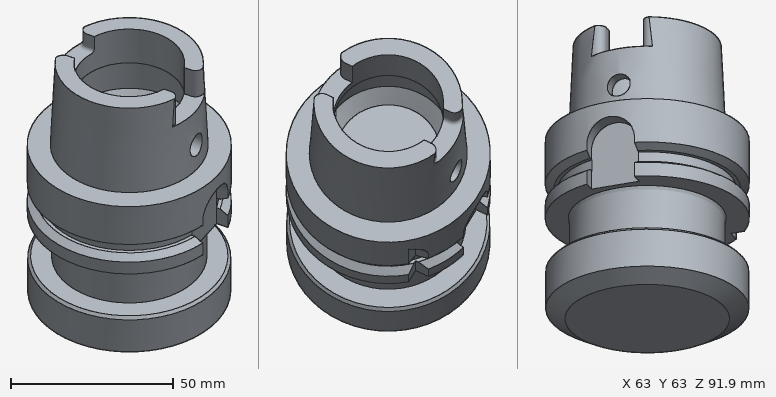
import cadquery as cq

height = 91.9
base_bevel_height = 3.5
base_top = 16.9
ring_bottom = 34.0
groove_bottom = 40.2
groove_top = 43.9
flange_top = 60.2

base_radius = 62.7 / 2
base_bottom_radius = 25.4
base_edge_chamfer = 0.9
neck_radius = 48.0 / 2
neck_flare = 0.4
neck_flare_height = 1.2
flange_radius = 62.95 / 2
groove_radius = 27.6
groove_bevel_height = 1.6
groove_bevel_width = 2.7
taper_base_radius = 24.35
taper_top_radius = 22.9

bore_radius = 34.1 / 2
bore_length = 13.1
chamber_radius = 40.1 / 2
chamber_cone_height = 1.8
bore_floor = 62.3
floor_radius = 15.8
floor_cone_height = 4.2

cross_hole_diameter = 7.5
cross_hole_height = 69.0

drive_half_width = 6.25
drive_mouth_radius = 2.7
drive_mouth_start = 18.4
left_drive_floor = 85.8
right_drive_floor = 81.7
left_drive_fillet = 1.3

key_radius = 7.9
key_top = 55.1
key_floor = 26.5
side_notch_radius = 7.4
side_notch_floor = 20.0
side_notch_inner_edge = 19.8

clearance = 4.6


def turned_outside():
    bevel_radius = flange_radius - groove_bevel_width
    return (
        cq.Workplane("XZ")
        .lineTo(base_bottom_radius, 0)
        .lineTo(base_radius, base_bevel_height)
        .lineTo(base_radius, base_top - base_edge_chamfer)
        .lineTo(base_radius - base_edge_chamfer, base_top)
        .lineTo(neck_radius, base_top)
        .lineTo(neck_radius, ring_bottom - neck_flare_height)
        .lineTo(neck_radius + neck_flare, ring_bottom)
        .lineTo(flange_radius, ring_bottom)
        .lineTo(flange_radius, groove_bottom - groove_bevel_height)
        .lineTo(bevel_radius, groove_bottom)
        .lineTo(groove_radius, groove_bottom)
        .lineTo(groove_radius, groove_top)
        .lineTo(bevel_radius, groove_top)
        .lineTo(flange_radius, groove_top + groove_bevel_height)
        .lineTo(flange_radius, flange_top)
        .lineTo(taper_base_radius, flange_top)
        .lineTo(taper_top_radius, height)
        .lineTo(0, height)
        .close()
        .revolve(360, (0, 0, 0), (0, 1, 0))
    )


def stepped_bore():
    bore_end = height - bore_length
    return (
        cq.Workplane("XZ")
        .moveTo(0, bore_floor)
        .lineTo(floor_radius, bore_floor)
        .lineTo(chamber_radius, bore_floor + floor_cone_height)
        .lineTo(chamber_radius, bore_end - chamber_cone_height)
        .lineTo(bore_radius, bore_end)
        .lineTo(bore_radius, height)
        .lineTo(0, height)
        .close()
        .revolve(360, (0, 0, 0), (0, 1, 0))
    )


def cross_hole():
    """Radial hole through both walls along X."""
    return (
        cq.Workplane("YZ")
        .center(0, cross_hole_height)
        .circle(cross_hole_diameter / 2)
        .extrude(flange_radius, both=True)
    )


def drive_slot(floor, fillet=0):
    """Rim slot on the -X side whose mouth flares outward in two convex arcs."""
    mouth_end = drive_mouth_start + drive_mouth_radius
    mouth_half_width = drive_half_width + drive_mouth_radius
    arc_offset = drive_mouth_radius * 0.5 ** 0.5
    arc_mid_x = drive_mouth_start + arc_offset
    arc_mid_y = mouth_half_width - arc_offset
    outer_half_width = mouth_half_width + clearance
    outer_x = mouth_end + clearance
    slot = (
        cq.Workplane("XY", origin=(0, 0, floor))
        .moveTo(0, drive_half_width)
        .lineTo(-drive_mouth_start, drive_half_width)
        .threePointArc((-arc_mid_x, arc_mid_y), (-mouth_end, mouth_half_width))
        .lineTo(-mouth_end, outer_half_width)
        .lineTo(-outer_x, outer_half_width)
        .lineTo(-outer_x, -outer_half_width)
        .lineTo(-mouth_end, -outer_half_width)
        .lineTo(-mouth_end, -mouth_half_width)
        .threePointArc((-arc_mid_x, -arc_mid_y), (-drive_mouth_start, -drive_half_width))
        .lineTo(0, -drive_half_width)
        .close()
        .extrude(height + clearance - floor)
    )
    if fillet:
        walls = cq.selectors.BoxSelector(
            (-mouth_end - fillet / 2, -outer_half_width - fillet, floor - fillet),
            (-fillet / 2, outer_half_width + fillet, floor + fillet),
        )
        slot = slot.edges(walls).fillet(fillet)
    return slot


def flange_slot(radius, center_y, floor_distance):
    """Round-topped slot with a flat floor facing -X, open below the flange ring."""
    arc_center = key_top - radius
    depth = flange_radius + clearance - floor_distance
    plane = cq.Workplane("YZ", origin=(-floor_distance, center_y, 0))
    return (
        plane.moveTo(-radius, ring_bottom)
        .lineTo(-radius, arc_center)
        .threePointArc((0, key_top), (radius, arc_center))
        .lineTo(radius, ring_bottom)
        .close()
        .extrude(-depth)
    )


def opposite(cutter):
    """Turn a -X side cutter to the +X side."""
    return cutter.rotate((0, 0, 0), (0, 0, 1), 180)


result = (
    turned_outside()
    .cut(stepped_bore())
    .cut(cross_hole())
    .cut(drive_slot(left_drive_floor, left_drive_fillet))
    .cut(opposite(drive_slot(right_drive_floor)))
    .cut(flange_slot(key_radius, 0, key_floor))
    .cut(opposite(flange_slot(key_radius, 0, key_floor)))
    .cut(flange_slot(side_notch_radius, side_notch_inner_edge + side_notch_radius, side_notch_floor))
)